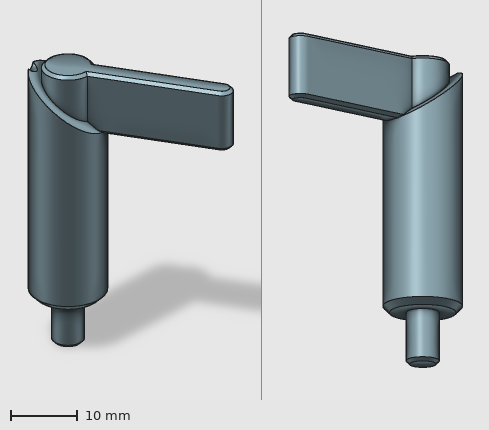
import cadquery as cq

total_height = 47.0
sleeve_diameter = 12.0
sleeve_chamfer = 1.0
hub_diameter = 8.0
pin_diameter = 5.0
pin_extension = 8.0
blade_thickness = 3.5
blade_height = 10.0
blade_reach = 26.0
edge_chamfer = 0.5
ramp_peak_drop = 1.0
notch_radius = 1.3
notch_depth = 0.85

sleeve_radius = sleeve_diameter / 2
ramp_peak = total_height - ramp_peak_drop
blade_bottom = total_height - blade_height
ramp_slope = (ramp_peak - blade_bottom) / sleeve_diameter
cut_reach = sleeve_diameter


def ramp_height(x):
    """Height of the sloping sleeve top, which falls toward +X."""
    return blade_bottom + ramp_slope * (sleeve_radius - x)


def below_ramp():
    """Block filling the space under the ramp plane."""
    return (
        cq.Workplane("XZ")
        .moveTo(-cut_reach, 0)
        .lineTo(cut_reach, 0)
        .lineTo(cut_reach, ramp_height(cut_reach))
        .lineTo(-cut_reach, ramp_height(-cut_reach))
        .close()
        .extrude(cut_reach, both=True)
    )


def cylinder(diameter, bottom, top):
    return cq.Workplane("XY").workplane(offset=bottom).circle(diameter / 2).extrude(top - bottom)


def make_sleeve():
    """Ramp-topped sleeve with a stepped bore and a detent notch at the peak."""
    body = cylinder(sleeve_diameter, pin_extension, total_height)
    body = body.faces("<Z").chamfer(sleeve_chamfer).intersect(below_ramp())

    body = body.cut(cylinder(pin_diameter, 0, total_height))
    body = body.cut(cylinder(hub_diameter, blade_bottom, total_height))

    notch = (
        cq.Workplane("YZ", origin=(-sleeve_radius, 0, 0))
        .center(0, ramp_peak - notch_depth + notch_radius)
        .circle(notch_radius)
        .extrude(sleeve_radius)
    )
    return body.cut(notch)


def make_blade():
    """Flat handle with a full-round end, trimmed to sit on the ramp."""
    half_thickness = blade_thickness / 2
    round_start = blade_reach - half_thickness
    blade = (
        cq.Workplane("XY", origin=(0, 0, blade_bottom))
        .moveTo(0, -half_thickness)
        .lineTo(round_start, -half_thickness)
        .threePointArc((blade_reach, 0), (round_start, half_thickness))
        .lineTo(0, half_thickness)
        .close()
        .extrude(blade_height)
    )
    return blade.faces("<Z").chamfer(edge_chamfer).cut(below_ramp())


def make_lever():
    """Handle blade, hub and pin in one piece."""
    pin = cylinder(pin_diameter, 0, total_height).faces("<Z").chamfer(edge_chamfer)
    hub = cylinder(hub_diameter, blade_bottom, total_height)
    head = hub.union(make_blade()).faces(">Z").chamfer(edge_chamfer)
    return head.union(pin)


sleeve = make_sleeve()
lever = make_lever()
result = cq.Compound.makeCompound([sleeve.solids().val(), lever.solids().val()])